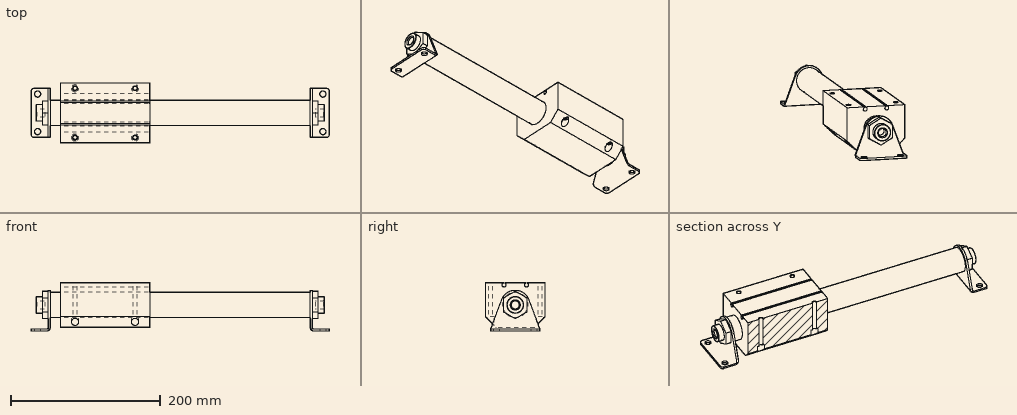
import cadquery as cq
import math

overall_length = 398.0
overall_height = 65.0

block_length = 119.5
block_width = 80.0
block_height = 59.7
block_end_gap = 39.0
block_chamfer = 14.5
block_hole_spacing_x = 80.0
block_hole_spacing_y = 65.5
block_hole_diameter = 5.0
block_hole_chamfer = 0.6
block_counterbore_diameter = 9.5
block_counterbore_depth = block_chamfer
groove_spacing = 30.0
groove_diameter = 5.0
groove_depth = 3.0
groove_mouth_width = 2.0

barrel_diameter = 34.0
stub_diameter = 22.3
stub_end_inset = 6.8
stub_chamfer = 0.5
port_diameter = 10.7
port_chamfer = 1.4
port_depth = 12.0
nut_across_flats = 32.0
nut_thickness = 8.0

plate_thickness = 3.0
foot_length = 26.0
foot_width = 65.5
foot_corner_radius = 4.0
foot_hole_diameter = 8.0
foot_hole_inset = 8.8
foot_hole_spacing = 50.0
bend_radius = 2.5
eye_radius = 19.5

block_top = block_height / 2
foot_bottom = block_top - overall_height
foot_end = overall_length / 2
plate_inner = foot_end - foot_length
plate_outer = plate_inner + plate_thickness
stub_end = foot_end - stub_end_inset
block_start = -foot_end + block_end_gap
block_centre = block_start + block_length / 2


def x_cylinder(diameter, start, length):
    """Cylinder along X, from the given start."""
    return cq.Workplane("YZ", origin=(start, 0, 0)).circle(diameter / 2).extrude(length)


def make_block():
    block = cq.Workplane("XY").box(block_length, block_width, block_height)
    block = block.faces("<Z").edges("|X").chamfer(block_chamfer)
    block = block.translate((block_centre, 0, 0))
    block = block.cut(x_cylinder(barrel_diameter, block_start, block_length))
    block = block.cut(block_grooves())
    return block.cut(block_screw_holes())


def block_grooves():
    """Round sensor grooves, each open to the top face through a narrow mouth."""
    groove_z = block_top - groove_depth
    end = cq.Workplane("YZ", origin=(block_start, 0, 0))
    centres = [(side * groove_spacing / 2, groove_z) for side in (-1, 1)]
    round_part = end.pushPoints(centres).circle(groove_diameter / 2).extrude(block_length)
    mouth_centres = [(y, z + groove_depth / 2) for y, z in centres]
    mouth = end.pushPoints(mouth_centres).rect(groove_mouth_width, groove_depth).extrude(block_length)
    return round_part.union(mouth)


def block_screw_holes():
    """Vertical through holes, chamfered at the top and counterbored from below."""
    bottom = cq.Workplane("XY", origin=(block_centre, 0, -block_top))
    bottom = bottom.rarray(block_hole_spacing_x, block_hole_spacing_y, 2, 2)
    holes = bottom.circle(block_hole_diameter / 2).extrude(block_height)
    counterbores = bottom.circle(block_counterbore_diameter / 2).extrude(block_counterbore_depth)
    rims = (
        cq.Workplane("XY", origin=(block_centre, 0, block_top))
        .rarray(block_hole_spacing_x, block_hole_spacing_y, 2, 2)
        .circle(block_hole_diameter / 2 + block_hole_chamfer)
        .extrude(-block_hole_chamfer, taper=45)
    )
    return holes.union(counterbores).union(rims)


def make_bracket():
    """L-shaped foot bracket at the +X end."""
    outer_bend = bend_radius + plate_thickness
    foot_top = foot_bottom + plate_thickness
    profile = (
        cq.Workplane("XZ")
        .moveTo(plate_inner, eye_radius)
        .lineTo(plate_inner, foot_bottom + outer_bend)
        .radiusArc((plate_inner + outer_bend, foot_bottom), -outer_bend)
        .lineTo(foot_end, foot_bottom)
        .lineTo(foot_end, foot_top)
        .lineTo(plate_outer + bend_radius, foot_top)
        .radiusArc((plate_outer, foot_top + bend_radius), bend_radius)
        .lineTo(plate_outer, eye_radius)
        .close()
        .extrude(foot_width / 2, both=True)
    )
    profile = profile.edges("|Z and >X").fillet(foot_corner_radius)
    bracket = profile.intersect(bracket_front_shape(foot_top))
    holes = (
        cq.Workplane("XY", origin=(foot_end - foot_hole_inset, 0, foot_bottom))
        .rarray(4, foot_hole_spacing, 1, 2)
        .circle(foot_hole_diameter / 2)
        .extrude(plate_thickness)
    )
    return bracket.cut(holes)


def bracket_front_shape(foot_top):
    """Upright outline: flanks run tangent from the round eye to the corners of the foot."""
    half_width = foot_width / 2
    corner_distance = math.hypot(half_width, foot_top)
    tangent_angle = math.atan2(foot_top, half_width) + math.acos(eye_radius / corner_distance)
    tangent_y = eye_radius * math.cos(tangent_angle)
    tangent_z = eye_radius * math.sin(tangent_angle)
    return (
        cq.Workplane("YZ", origin=(plate_inner, 0, 0))
        .moveTo(-half_width, foot_bottom)
        .lineTo(half_width, foot_bottom)
        .lineTo(half_width, foot_top)
        .lineTo(tangent_y, tangent_z)
        .threePointArc((0, eye_radius), (-tangent_y, tangent_z))
        .lineTo(-half_width, foot_top)
        .close()
        .extrude(foot_length)
    )


def make_cylinder_end():
    """Foot bracket, lock nut and threaded stub with its air port, at the +X end."""
    stub = x_cylinder(stub_diameter, plate_inner, stub_end - plate_inner)
    stub = stub.faces(">X").chamfer(stub_chamfer)
    nut_across_corners = nut_across_flats / math.cos(math.pi / 6)
    nut = (
        cq.Workplane("YZ", origin=(plate_outer, 0, 0))
        .transformed(rotate=(0, 0, 90))
        .polygon(6, nut_across_corners)
        .extrude(nut_thickness)
    )
    return make_bracket().union(nut).union(stub).cut(air_port())


def air_port():
    """Blind axial hole in the stub face, with a 45 degree chamfer at its rim."""
    radius = port_diameter / 2
    return (
        cq.Workplane("XY", origin=(stub_end, 0, 0))
        .moveTo(0, 0)
        .lineTo(0, radius + port_chamfer)
        .lineTo(-port_chamfer, radius)
        .lineTo(-port_depth, radius)
        .lineTo(-port_depth, 0)
        .close()
        .revolve(360, (0, 0, 0), (1, 0, 0))
    )


def make_cylinder():
    barrel = x_cylinder(barrel_diameter, -plate_inner, 2 * plate_inner)
    right_end = make_cylinder_end()
    return barrel.union(right_end).union(right_end.mirror("YZ"))


carriage_block = make_block()
cylinder = make_cylinder()

result = cq.Compound.makeCompound([carriage_block.val(), cylinder.val()])